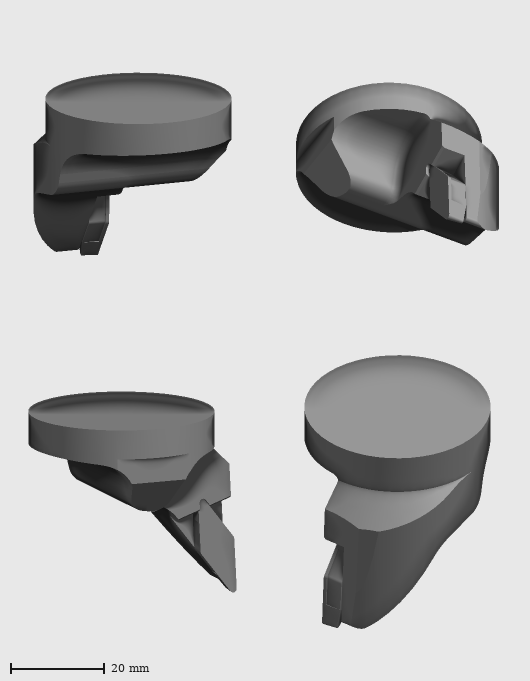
import cadquery as cq
import math


SPAN = 100.0

collar_radius = 20.0
collar_depth = 8.65
rim_depth = 6.9
flat_distance = 18.1
flat_top_z = -6.35
slant_top_z = -12.05
slant_bottom_y = 11.4
slant_bottom_z = -19.9

nose_x = -26.87
nose_z = -42.0
nose_radius = 0.8
obtuse_radius = 1.2
insert_angle = 35.0
side_lean = 3.0
inscribed_circle = 7.94
insert_thickness = 4.45
relief_angle = 5.0
panel_top_y = -0.77
panel_inset = 0.4
panel_half_length = 6.4
bevel_angle = 10.0

arm_top_y = 0.8
arm_shift = 7.5
arm_tangent_y = -8.15
flank_clearance = 0.6
tip_radius = 0.8
arm_floor_point = (-7.5, -21.15)
arm_floor_slope = 11.7
inner_radius = 8.4
facet_top_start = (-24.9, -8.4, -15.0)
facet_top_end = (-23.1, -12.6, -15.0)
facet_bottom = (-25.82, -8.2, -32.6)

rim_slope = 5.5
neck_wall_angle = 75.0
neck_right_point = (4.15, -15.1)
neck_heel_radius = 5.0
pocket_roof_z = -7.6
pocket_wall_point = (-6.9, -13.2)
pocket_radius = 7.7
pocket_heel_radius = 3.4
pocket_root_radius = 1.6

seat_y = -4.63
seat_bevel_y = 0.27
seat_bevel_width = 0.4
seat_wall_start = (-25.3, -20.9)
seat_wall_end = (-13.0, -25.1)


def direction(degrees):
    """Unit vector in the XZ plane, measured from +X toward +Z."""
    return math.cos(math.radians(degrees)), math.sin(math.radians(degrees))


def along(point, degrees, distance):
    """Point at a distance from another one, in the XZ plane."""
    step = direction(degrees)
    return point[0] + distance * step[0], point[1] + distance * step[1]


def meet(p, p_degrees, q, q_degrees):
    """Crossing point of two lines, each given by a point and an angle."""
    u = direction(p_degrees)
    v = direction(q_degrees)
    cross = u[0] * v[1] - u[1] * v[0]
    distance = ((q[0] - p[0]) * v[1] - (q[1] - p[1]) * v[0]) / cross
    return along(p, p_degrees, distance)


def prism(points, y_start, y_end):
    """XZ polygon extruded from y_start down to y_end."""
    return cq.Workplane("XZ", origin=(0, y_start, 0)).polyline(points).close().extrude(y_start - y_end)


def round_corner(solid, corner, radius):
    """Round the edge parallel to Y that stands on an XZ corner."""
    middle_y = solid.val().Center().y
    nearest = cq.selectors.NearestToPointSelector((corner[0], middle_y, corner[1]))
    return solid.edges("|Y").edges(nearest).fillet(radius)


side_angle = 90 - side_lean
lower_angle = side_angle - insert_angle
axis_angle = (side_angle + lower_angle) / 2
half_angle_sine = math.sin(math.radians(insert_angle / 2))
edge_length = inscribed_circle / math.sin(math.radians(insert_angle))
nose_center = (nose_x + nose_radius, nose_z + nose_radius)
sharp_tip = along(nose_center, axis_angle, -nose_radius / half_angle_sine)
left_corner = along(sharp_tip, side_angle, edge_length)
right_corner = along(sharp_tip, lower_angle, edge_length)
far_tip = along(left_corner, lower_angle, edge_length)
insert_center = ((sharp_tip[0] + far_tip[0]) / 2, (sharp_tip[1] + far_tip[1]) / 2)


def insert_outline(inset=0.0):
    """Rounded rhombus of the insert, its sides moved inward by the inset."""
    scale = 1 - 2 * inset / inscribed_circle
    corners = []
    for corner in (sharp_tip, right_corner, far_tip, left_corner):
        x = insert_center[0] + scale * (corner[0] - insert_center[0])
        z = insert_center[1] + scale * (corner[1] - insert_center[1])
        corners.append((x, z))
    solid = prism(corners, 0, -insert_thickness)
    for corner, radius in zip(corners, (nose_radius, obtuse_radius) * 2):
        solid = round_corner(solid, corner, radius)
    return solid


def insert_blank():
    """Insert with relieved sides, without panels and bevels."""
    rake_face = insert_outline().faces(">Y").wires().val()
    return cq.Workplane("XZ").add(rake_face).toPending().extrude(insert_thickness, taper=relief_angle)


def insert_frame():
    """Plane at the insert center: local x along the long diagonal, local y toward +Y."""
    axis = direction(axis_angle)
    return cq.Plane(
        origin=(insert_center[0], 0, insert_center[1]),
        xDir=(axis[0], 0, axis[1]),
        normal=(-axis[1], 0, axis[0]),
    )


def make_insert():
    """Rhombic insert with upright side panels and a bevelled underside at both acute ends."""
    insert = insert_blank()
    panel_height = insert_thickness + panel_top_y
    band = (
        cq.Workplane(insert_frame())
        .center(0, panel_top_y - panel_height / 2)
        .rect(2 * panel_half_length, panel_height)
        .extrude(SPAN, both=True)
    )
    insert = insert.cut(band.cut(insert_outline(panel_inset)))
    rise = SPAN * math.tan(math.radians(bevel_angle))
    for end in (-1, 1):
        start = end * panel_half_length
        bevel = (
            cq.Workplane(insert_frame())
            .moveTo(start, -insert_thickness)
            .lineTo(start + end * SPAN, -insert_thickness + rise)
            .lineTo(start + end * SPAN, -insert_thickness)
            .close()
            .extrude(SPAN, both=True)
        )
        insert = insert.cut(bevel)
    return insert


rim_corner = (collar_radius, -rim_depth)
neck_top = meet(rim_corner, rim_slope, neck_right_point, neck_wall_angle)
neck_heel = meet(arm_floor_point, arm_floor_slope, neck_right_point, neck_wall_angle)
arm_tip = along(sharp_tip, axis_angle, flank_clearance / half_angle_sine)
arm_elbow = meet(arm_floor_point, arm_floor_slope, arm_tip, lower_angle)
arm_top_left = meet(arm_tip, side_angle, (0, 0), 0)


def side_profile():
    """Outline of the whole head in the XZ plane, wide enough for every part of it."""
    profile = prism(
        [(collar_radius, 0), rim_corner, neck_top, neck_heel, arm_elbow, arm_tip, arm_top_left],
        collar_radius,
        -collar_radius,
    )
    rounds = (
        (neck_top, inner_radius),
        (neck_heel, neck_heel_radius),
        (arm_elbow, inner_radius),
        (arm_tip, tip_radius),
    )
    for corner, radius in rounds:
        profile = round_corner(profile, corner, radius)
    return profile


def arm_wall(depth):
    """Prism of the arm in plan: the collar's round, moved out in -X and continued along its tangent."""
    end_angle = math.asin(-arm_tangent_y / collar_radius)
    middle_angle = (end_angle + math.pi / 2) / 2
    diagonal = collar_radius * math.sqrt(0.5)
    arc_middle = (
        -arm_shift - collar_radius * math.cos(middle_angle),
        -collar_radius * math.sin(middle_angle),
    )
    arc_end_x = -arm_shift - collar_radius * math.cos(end_angle)
    tangent_end_x = arc_end_x - (arm_top_y - arm_tangent_y) * math.tan(end_angle)
    return (
        cq.Workplane("XY")
        .moveTo(collar_radius, arm_top_y)
        .lineTo(collar_radius, 0)
        .threePointArc((diagonal, -diagonal), (0, -collar_radius))
        .lineTo(-arm_shift, -collar_radius)
        .threePointArc(arc_middle, (arc_end_x, arm_tangent_y))
        .lineTo(tangent_end_x, arm_top_y)
        .close()
        .extrude(-depth)
    )


def envelope():
    """Collar cylinder, flaring into a 45 degree cone that is trimmed to the arm's outer wall."""
    depth = -nose_z
    collar = cq.Workplane("XY").circle(collar_radius).extrude(-depth)
    flare_height = depth - collar_depth
    cone = cq.Workplane(
        cq.Solid.makeCone(
            collar_radius,
            collar_radius + flare_height,
            flare_height,
            cq.Vector(0, 0, -collar_depth),
            cq.Vector(0, 0, -1),
        )
    )
    return collar.union(cone.intersect(arm_wall(depth)))


def chip_pocket():
    """Space above the arm: under the collar, beside the neck."""
    wall_angle = 180 - neck_wall_angle
    roof = meet((0, pocket_roof_z), 0, pocket_wall_point, wall_angle)
    heel = meet(arm_floor_point, arm_floor_slope, pocket_wall_point, wall_angle)
    floor_end = along(heel, arm_floor_slope, SPAN)
    pocket = prism(
        [(-SPAN, pocket_roof_z), roof, heel, floor_end, (floor_end[0], -SPAN), (-SPAN, -SPAN)],
        SPAN,
        arm_top_y,
    )
    pocket = round_corner(pocket, roof, pocket_radius)
    pocket = round_corner(pocket, heel, pocket_heel_radius)
    root = pocket.faces("<Y").edges(cq.selectors.NearestToPointSelector((roof[0], arm_top_y, roof[1])))
    return root.fillet(pocket_root_radius)


def rear_trim():
    """Flat and slanted plane on the +Y side."""
    return (
        cq.Workplane("YZ")
        .moveTo(SPAN, flat_top_z)
        .lineTo(flat_distance, flat_top_z)
        .lineTo(flat_distance, slant_top_z)
        .lineTo(slant_bottom_y, slant_bottom_z)
        .lineTo(slant_bottom_y, nose_z)
        .lineTo(SPAN, nose_z)
        .close()
        .extrude(SPAN, both=True)
    )


def facet_trim():
    """Everything outside the plane facet between the arm's left flank and its outer wall."""
    start = cq.Vector(*facet_top_start)
    across = cq.Vector(*facet_top_end) - start
    down = cq.Vector(*facet_bottom) - start
    outward = down.cross(across)
    plane = cq.Plane(origin=facet_top_start, xDir=across.toTuple(), normal=outward.toTuple())
    return cq.Workplane(plane).rect(SPAN, SPAN).extrude(SPAN)


def insert_seat():
    """Open corner below the seat wall, and the recess that holds the insert's far end."""
    wall_angle = math.atan2(seat_wall_end[1] - seat_wall_start[1], seat_wall_end[0] - seat_wall_start[0])
    wall_frame = cq.Plane(
        origin=(seat_wall_start[0], 0, seat_wall_start[1]),
        xDir=(math.sin(wall_angle), 0, -math.cos(wall_angle)),
        normal=(math.cos(wall_angle), 0, math.sin(wall_angle)),
    )
    corner = (
        cq.Workplane(wall_frame)
        .moveTo(0, seat_y)
        .lineTo(0, seat_bevel_y)
        .lineTo(-seat_bevel_width, arm_top_y)
        .lineTo(SPAN, arm_top_y)
        .lineTo(SPAN, seat_y)
        .close()
        .extrude(SPAN, both=True)
    )
    above = insert_outline().translate((0, insert_thickness, 0))
    return corner.union(insert_blank()).union(above)


head = side_profile().intersect(envelope())
head = head.cut(chip_pocket()).cut(rear_trim()).cut(facet_trim()).cut(insert_seat())
insert = make_insert()

result = cq.Compound.makeCompound([head.solids().val(), insert.solids().val()])